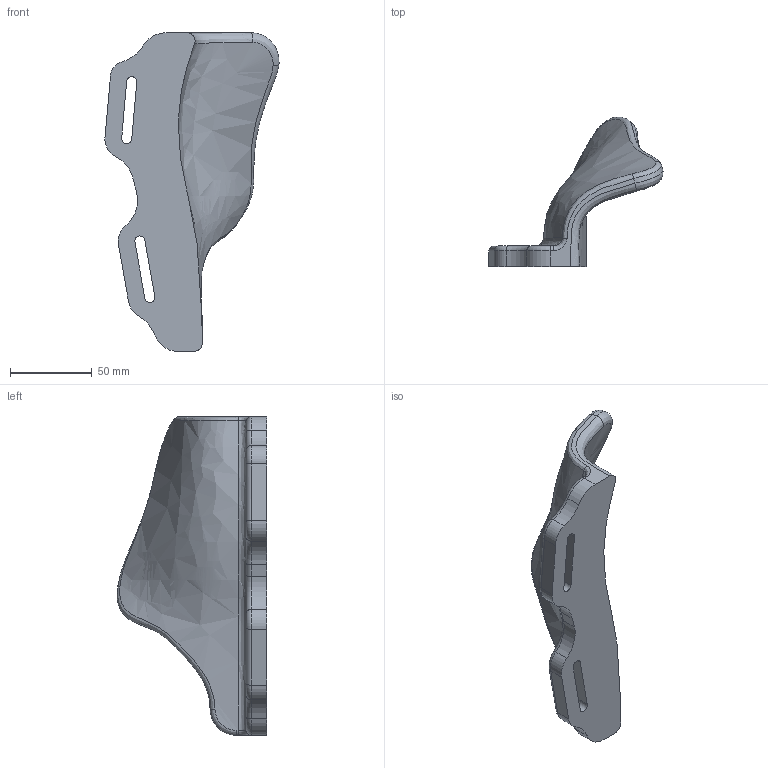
import cadquery as cq
import math

HEIGHT = 195.0
PLATE_THICKNESS = 12.5
WALL_THICKNESS = 11.5

PLATE_TOP_RIGHT = (51.0, HEIGHT)
PLATE_BOTTOM_RIGHT = (54.0, 0)
PLATE_RUNS = [
    ((37.5, HEIGHT), [(23.2, 186.9), (10.7, 177.3), (3.2, 166.1)]),
    ((0.05, 131.4), [(7.0, 118.8), (17.5, 104.5)]),
    ((19.4, 97.2), [(12.8, 77.0), (8.4, 64.9)]),
    ((14.4, 30.7), [(20.7, 21.6), (30.5, 10.0), (42.4, 0)]),
]

ROOT_RADIUS = 5.0
INNER_EDGE_RADIUS = 3.0
OUTER_EDGE_RADIUS = 5.0
ARC_MID_INSET = 1 - math.sqrt(0.5)

WALL_STRAIGHT = 17.5
WALL_OVERRUN = 12.0
START_PULL = 0.40
END_PULL = 0.45
BEND_STEPS = 8
WALL_SECTIONS = [
    (-5.0, 59.8, 54.3, 50.0, 90.0),
    (15.0, 59.6, 54.3, 55.0, 89.0),
    (35.0, 58.5, 55.2, 62.0, 86.0),
    (55.0, 57.2, 60.0, 72.0, 78.0),
    (75.0, 55.2, 74.0, 86.0, 66.0),
    (95.0, 50.6, 87.0, 87.5, 52.0),
    (115.0, 46.7, 90.0, 80.0, 38.0),
    (135.0, 44.9, 92.5, 71.5, 30.0),
    (155.0, 46.0, 97.5, 65.0, 24.0),
    (175.0, 50.5, 104.0, 59.5, 17.0),
    (200.0, 58.8, 106.0, 55.0, 13.0),
]

LIP_BOTTOM_RADIUS = 16.0
LIP_TOP_RADIUS = 18.6
LIP = [
    (LIP_BOTTOM_RADIUS, 54.0, 34.7, 90.0),
    (35.0, 54.5, 40.0, 88.0),
    (45.0, 55.5, 47.2, 85.0),
    (55.0, 57.5, 56.5, 80.0),
    (64.6, 61.5, 70.0, 74.0),
    (69.5, 68.5, 81.5, 70.0),
    (75.0, 75.8, 87.3, 66.0),
    (86.0, 84.5, 89.15, 58.0),
    (100.0, 88.8, 86.5, 48.0),
    (115.0, 90.2, 80.0, 38.0),
    (135.0, 93.1, 71.0, 30.0),
    (155.0, 99.7, 63.8, 24.0),
    (168.0, 105.0, 59.6, 18.0),
    (HEIGHT - LIP_TOP_RADIUS, 107.0, 57.0, 14.0),
]

LIP_REACH = 40.0
LIP_TRIM = 60.0
LIP_TRIM_ANGLE = 45.0
SLAB_WIDTH = 600.0

SLOT_WIDTH = 6.2
SLOT_PITCH = 35.0
SLOTS = [((16.4, 165.1), -5.0), ((21.4, 67.5), 10.0)]


def heading(angle):
    """Unit vector in the XY plane, at an angle from +X."""
    return cq.Vector(math.cos(math.radians(angle)), math.sin(math.radians(angle)), 0)


def bezier(controls, t):
    """Point and unit tangent of a cubic Bezier curve."""
    p0, p1, p2, p3 = controls
    point = p0 * (1 - t) ** 3 + p1 * (3 * t * (1 - t) ** 2) + p2 * (3 * t ** 2 * (1 - t)) + p3 * t ** 3
    slope = (p1 - p0) * (1 - t) ** 2 + (p2 - p1) * (2 * t * (1 - t)) + (p3 - p2) * t ** 2
    return point, slope.normalized()


def wall_section(z, edge_x, lip_x, lip_y, angle):
    """Closed wire across the wall at height z."""
    half = WALL_THICKNESS / 2
    up = cq.Vector(0, 1, 0)
    along = heading(angle)
    start = cq.Vector(edge_x - half, WALL_STRAIGHT, z)
    end = cq.Vector(lip_x, lip_y, z)
    chord = (end - start).Length
    controls = [start, start + up * (START_PULL * chord), end - along * (END_PULL * chord), end]

    samples = [(start + up * (y - WALL_STRAIGHT), up) for y in (0, WALL_STRAIGHT / 2)]
    samples += [bezier(controls, step / BEND_STEPS) for step in range(BEND_STEPS + 1)]
    samples.append((end + along * WALL_OVERRUN, along))

    outer = []
    inner = []
    for point, tangent in samples:
        outward = cq.Vector(tangent.y, -tangent.x, 0) * half
        outer.append(point + outward)
        inner.append(point - outward)

    edges = [
        cq.Edge.makeSpline(outer, tangents=[up, along]),
        cq.Edge.makeLine(outer[-1], inner[-1]),
        cq.Edge.makeSpline(inner[::-1], tangents=[along * -1, up * -1]),
        cq.Edge.makeLine(inner[0], outer[0]),
    ]
    return cq.Wire.assembleEdges(edges)


def beyond_lip():
    """Everything past the free lip; the trimmed lip face is square to the wall."""
    heights = [row[0] for row in LIP]
    rails = []
    for side in (-LIP_REACH, LIP_REACH):
        points = [cq.Vector(x, y, z) + heading(angle - 90) * side for z, x, y, angle in LIP]
        rise = cq.Vector(0, 0, 1)
        lower = points[0] - rise * (LIP_BOTTOM_RADIUS + LIP_REACH)
        upper = points[-1] + rise * (LIP_TOP_RADIUS + LIP_REACH)
        rails.append([
            cq.Edge.makeLine(lower, points[0]),
            cq.Edge.makeSpline(points, tangents=[rise, rise], parameters=heights, scale=False),
            cq.Edge.makeLine(points[-1], upper),
        ])
    away = heading(LIP_TRIM_ANGLE) * LIP_TRIM
    pieces = [cq.Face.makeRuledSurface(one, two) for one, two in zip(*rails)]
    return [cq.Solid.extrudeLinear(piece, away) for piece in pieces]


def lip_corner(lip_row, end_z, end_direction, radius):
    """Waste outside a rounded lip corner; end_direction is +1 at the top and -1 at the bottom."""
    _, x, y, angle = lip_row
    plane = cq.Plane(
        origin=(x, y, end_z),
        xDir=heading(angle).toTuple(),
        normal=heading(angle - 90).toTuple(),
    )
    arc_mid = radius * ARC_MID_INSET
    inward = -end_direction
    return (
        cq.Workplane(plane)
        .moveTo(-radius, 0)
        .threePointArc((-arc_mid, inward * arc_mid), (0, inward * radius))
        .lineTo(LIP_TRIM, inward * radius)
        .lineTo(LIP_TRIM, -inward * radius)
        .lineTo(-radius, -inward * radius)
        .close()
        .extrude(LIP_REACH, both=True)
    )


def make_wall():
    """Lofted wall cut to the plate height, trimmed to its lip with both lip corners rounded."""
    wall = cq.Workplane(obj=cq.Solid.makeLoft([wall_section(*row) for row in WALL_SECTIONS]))
    slab = cq.Workplane().box(SLAB_WIDTH, SLAB_WIDTH, HEIGHT, centered=(True, True, False))
    wall = slab.intersect(wall)
    for waste in beyond_lip():
        wall = wall.cut(cq.Workplane(obj=waste))
    wall = wall.cut(lip_corner(LIP[0], 0, -1, LIP_BOTTOM_RADIUS))
    return wall.cut(lip_corner(LIP[-1], HEIGHT, 1, LIP_TOP_RADIUS))


def make_plate():
    """Scalloped plate; its right edge is buried in the middle of the wall."""
    buried_edge = [(edge_x - WALL_THICKNESS / 2, z) for z, edge_x, *_ in WALL_SECTIONS[1:-1]]
    outline = cq.Workplane("XZ").moveTo(*PLATE_TOP_RIGHT)
    for line_end, arc_ends in PLATE_RUNS:
        outline = outline.lineTo(*line_end)
        for arc_end in arc_ends:
            outline = outline.tangentArcPoint(arc_end, relative=False)
    outline = (
        outline.lineTo(*PLATE_BOTTOM_RIGHT)
        .spline([*buried_edge, PLATE_TOP_RIGHT], includeCurrent=True)
        .close()
    )
    return outline.extrude(-PLATE_THICKNESS)


def cut_slots(body):
    """Tilted strap slots through the plate."""
    for (x, z), tilt in SLOTS:
        mid_x = x + SLOT_PITCH / 2 * math.sin(math.radians(tilt))
        mid_z = z - SLOT_PITCH / 2 * math.cos(math.radians(tilt))
        slot = (
            cq.Workplane("XZ", origin=(mid_x, 0, mid_z))
            .slot2D(SLOT_PITCH + SLOT_WIDTH, SLOT_WIDTH, 90 + tilt)
            .extrude(-PLATE_THICKNESS)
        )
        body = body.cut(slot)
    return body


def face_near(body, point):
    """Face of the body closest to a point."""
    return min(body.faces().vals(), key=lambda face: face.distance(cq.Vertex.makeVertex(*point)))


def rim(faces):
    """Edges around a patch of faces, leaving out the seams inside the patch."""
    edges = [edge for face in faces for edge in face.outerWire().Edges()]
    return [edge for edge in edges if sum(edge.isSame(other) for other in edges) == 1]


def round_edges(body):
    """Root fillet first, then the wall edge away from the plate, then the rim on the plate side."""
    mid_row = WALL_SECTIONS[len(WALL_SECTIONS) // 2]
    mid_z, mid_x = mid_row[:2]
    flat_point = (mid_x / 2, 0, mid_z)
    back_point = (mid_x / 2, PLATE_THICKNESS, mid_z)
    outer_point = (mid_x, WALL_STRAIGHT / 2, mid_z)
    inner_point = (mid_x - WALL_THICKNESS, WALL_STRAIGHT + ROOT_RADIUS, mid_z)

    fillet_inset = ROOT_RADIUS * ARC_MID_INSET
    fillet_point = (mid_x - WALL_THICKNESS - fillet_inset, PLATE_THICKNESS + fillet_inset, mid_z)

    back = face_near(body, back_point)
    inner = face_near(body, inner_point)
    root = [edge for edge in back.Edges() if any(edge.isSame(other) for other in inner.Edges())]
    body = body.newObject(root).fillet(ROOT_RADIUS)

    outer = face_near(body, outer_point)
    flat_face = face_near(body, flat_point)
    front_edges = flat_face.Edges()
    outer_rim = [edge for edge in outer.Edges() if not any(edge.isSame(front) for front in front_edges)]
    body = body.newObject(outer_rim).fillet(OUTER_EDGE_RADIUS)

    back = face_near(body, back_point)
    inner = face_near(body, inner_point)
    root_fillet = face_near(body, fillet_point)
    return body.newObject(rim([back, root_fillet, inner])).fillet(INNER_EDGE_RADIUS)


body = make_plate().union(make_wall())
body = round_edges(body)
result = cut_slots(body)